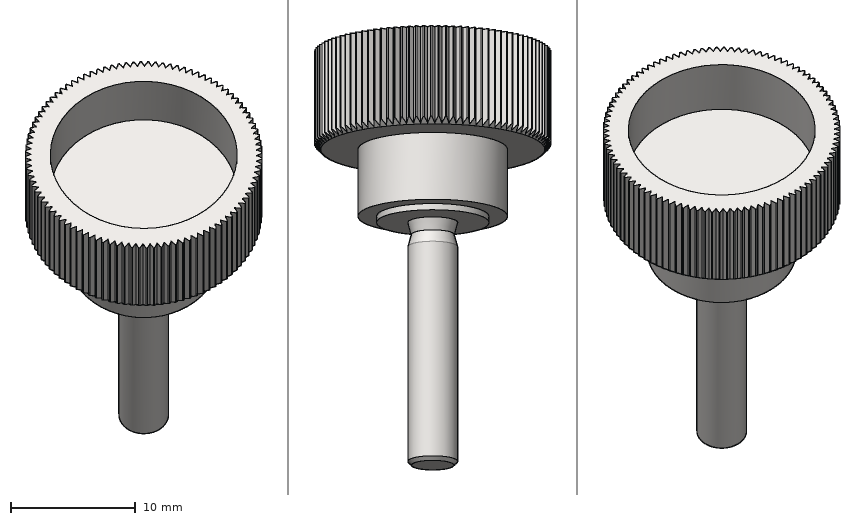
import cadquery as cq
import math

total_height = 34.0
knob_diameter = 19.0
knob_height = 8.0
knob_chamfer = 0.5

tooth_count = 100
tooth_depth = 0.45
tooth_tip_width = 0.1

recess_diameter = 15.0
recess_depth = 5.0

collar_diameter = 12.0
collar_height = 5.5
foot_diameter = 9.0
foot_height = 0.5

shaft_diameter = 4.0
waist_diameter = 3.47
neck_height = 2.0
shaft_chamfer = 0.3

knob_bottom = total_height - knob_height
collar_bottom = knob_bottom - collar_height
foot_bottom = collar_bottom - foot_height
waist_level = foot_bottom - neck_height / 2
neck_bottom = foot_bottom - neck_height

knob_radius = knob_diameter / 2
root_radius = knob_radius - tooth_depth
shaft_radius = shaft_diameter / 2
waist_radius = waist_diameter / 2


def disc(diameter, bottom, height):
    return cq.Workplane("XY").workplane(offset=bottom).circle(diameter / 2).extrude(height)


def on_circle(radius, angle):
    return (radius * math.cos(angle), radius * math.sin(angle))


def knurl_outline():
    """Closed tooth outline; the root of one groove lies on the +X axis."""
    pitch = 2 * math.pi / tooth_count
    half_tip = tooth_tip_width / knob_diameter
    outline = cq.Workplane("XY").workplane(offset=knob_bottom).moveTo(root_radius, 0)
    for tooth in range(tooth_count):
        middle = (tooth + 0.5) * pitch
        outline = outline.lineTo(*on_circle(knob_radius, middle - half_tip))
        outline = outline.threePointArc(
            on_circle(knob_radius, middle), on_circle(knob_radius, middle + half_tip)
        )
        outline = outline.lineTo(*on_circle(root_radius, middle + pitch / 2))
    return outline.close()


def make_knob():
    """Knurled disc whose lower rim is bevelled and whose top is recessed."""
    knurled = knurl_outline().extrude(knob_height)
    envelope = disc(knob_diameter, knob_bottom, knob_height).faces("<Z").chamfer(knob_chamfer)
    recess = disc(recess_diameter, total_height - recess_depth, recess_depth)
    return knurled.intersect(envelope).cut(recess)


def make_shaft():
    """Revolved shaft with a chamfered tip and a neck narrowing to its waist."""
    return (
        cq.Workplane("XZ")
        .lineTo(shaft_radius - shaft_chamfer, 0)
        .lineTo(shaft_radius, shaft_chamfer)
        .lineTo(shaft_radius, neck_bottom)
        .lineTo(waist_radius, waist_level)
        .lineTo(shaft_radius, foot_bottom)
        .lineTo(0, foot_bottom)
        .close()
        .revolve(360, (0, 0, 0), (0, 1, 0))
    )


collar = disc(collar_diameter, collar_bottom, collar_height)
foot = disc(foot_diameter, foot_bottom, foot_height)

result = make_knob().union(collar).union(foot).union(make_shaft())